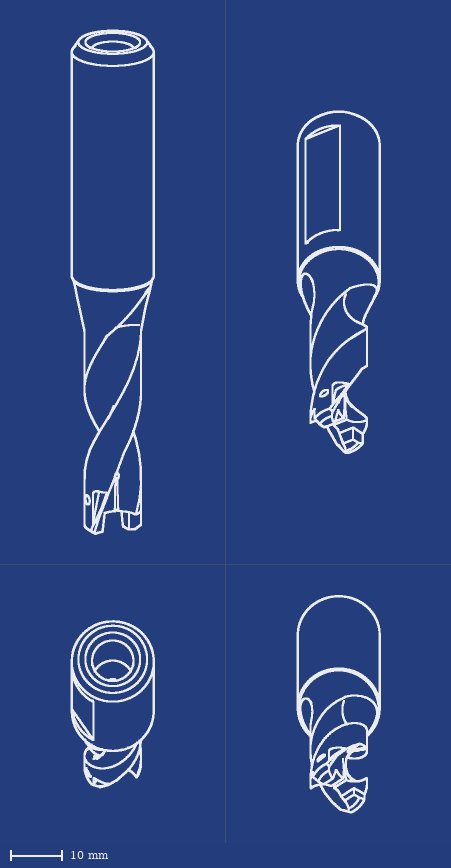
import cadquery as cq
import math

TOTAL_LENGTH = 99.7

SHANK_RADIUS = 15.8 / 2
SHANK_BOTTOM_Z = 51.8
END_CHAMFER_WIDTH = 1.3
END_CHAMFER_HEIGHT = 2.0
FLAT_DEPTH = 0.9
FLAT_BOTTOM_Z = 57.6
FLAT_TOP_Z = 93.1

NECK_TOP_RADIUS = 7.7
NECK_TOP_Z = 51.4
NECK_BOTTOM_Z = 40.7

BORE_MOUTH_RADIUS = 5.3
BORE_RADIUS = 4.0
BORE_CHAMFER_HEIGHT = BORE_MOUTH_RADIUS - BORE_RADIUS
BORE_DEPTH = 19.9
BORE_TIP_ANGLE = 118.0
COOLANT_RADIUS = 0.8

DRILL_RADIUS = 5.5
HELIX_ANGLE = 30.0
TIP_CHAMFER_WIDTH = 1.2
TIP_CHAMFER_HEIGHT = 0.9

HALF_WEB = 1.3
FLUTE_HALF_ANGLE = 51.5
FLUTE_TIP_HALF_ANGLE = 38.5
SLOW_TWIST_TOP_Z = 17.3
SLOW_TWIST_TOP_ANGLE = 222.4
SLOW_TWIST_BOTTOM_ANGLE = 142.0
SLOW_TWIST_STEPS = 4
RUNOUT_START_Z = 41.7
RUNOUT_OUTWARD = 7.8
RUNOUT_SIDEWAYS = 13.0
RUNOUT_HEIGHT = 15.9

SEAT_TOP_Z = 4.1
SEAT_HALF_WIDTH = 2.5
ARM_HALF_WIDTH = 2.9
ARM_INNER_X = -1.9
GASH_PLANE_POINTS = [(2.8, -4.7, 4.4), (0.9, -5.4, 1.2), (2.8, -2.5, 0.4)]

SLIT_WIDTH = 0.6
CROSS_HOLE_RADIUS = 0.65
CROSS_HOLE_Z = 11.2

RECESS_EDGE_X = 1.3
RECESS_TOP_Y = -3.8
RECESS_TOP_Z = 9.4
RECESS_BOTTOM_Y = -5.4
RECESS_BOTTOM_Z = 2.2
RECESS_CORNER_RADIUS = 1.0

PIN_RADIUS = 0.9
PIN_X = -0.5
PIN_Z = 6.9
PIN_INNER_Y = -2.5

CLEARANCE = 10.0

Z_AXIS = ((0, 0, 0), (0, 0, 1))


def half_turns(shape):
    """The shape and its copy turned half way round the drill axis."""
    return [shape.rotate(*Z_AXIS, turn) for turn in (0, 180)]


def cut_all(body, cutters):
    for cutter in cutters:
        body = body.cut(cutter)
    return body


def revolved(points):
    """A body of revolution about Z from (radius, z) points."""
    return cq.Workplane("XZ").polyline(points).close().revolve(360, (0, 0), (0, 1))


def drill_blank():
    return revolved([
        (0, 0),
        (DRILL_RADIUS - TIP_CHAMFER_WIDTH, 0),
        (DRILL_RADIUS, TIP_CHAMFER_HEIGHT),
        (DRILL_RADIUS, NECK_BOTTOM_Z),
        (NECK_TOP_RADIUS, NECK_TOP_Z),
        (SHANK_RADIUS, SHANK_BOTTOM_Z),
        (SHANK_RADIUS, TOTAL_LENGTH - END_CHAMFER_HEIGHT),
        (SHANK_RADIUS - END_CHAMFER_WIDTH, TOTAL_LENGTH),
        (0, TOTAL_LENGTH),
    ])


def shank_bore():
    """Chamfered bore with a conical bottom and the coolant hole down to the cross hole."""
    floor_z = TOTAL_LENGTH - BORE_DEPTH
    cone_slope = math.tan(math.radians(BORE_TIP_ANGLE / 2))
    return revolved([
        (0, TOTAL_LENGTH),
        (BORE_MOUTH_RADIUS, TOTAL_LENGTH),
        (BORE_RADIUS, TOTAL_LENGTH - BORE_CHAMFER_HEIGHT),
        (BORE_RADIUS, floor_z),
        (COOLANT_RADIUS, floor_z - (BORE_RADIUS - COOLANT_RADIUS) / cone_slope),
        (COOLANT_RADIUS, CROSS_HOLE_Z),
        (0, CROSS_HOLE_Z),
    ])


def shank_flat():
    height = FLAT_TOP_Z - FLAT_BOTTOM_Z
    return (
        cq.Workplane("XY", origin=(0, SHANK_RADIUS - FLAT_DEPTH, FLAT_BOTTOM_Z))
        .box(2 * SHANK_RADIUS, CLEARANCE, height, centered=(True, False, False))
    )


def flute_circle(half_angle):
    """Centre distance and radius of the round channel that opens over the given half angle."""
    half_chord = DRILL_RADIUS * math.sin(math.radians(half_angle))
    depth = DRILL_RADIUS * math.cos(math.radians(half_angle)) - HALF_WEB
    radius = (half_chord**2 + depth**2) / (2 * depth)
    return HALF_WEB + radius, radius


def flute_wire(z, angle, half_angle):
    distance, radius = flute_circle(half_angle)
    circle = cq.Wire.makeCircle(radius, cq.Vector(distance, 0, z), cq.Vector(0, 0, 1))
    return circle.rotate(cq.Vector(0, 0, 0), cq.Vector(0, 0, 1), angle)


def flute():
    """One flute: slow twist at the tip, helix along the body, straight run-out into the neck."""
    sections = []
    for step in range(SLOW_TWIST_STEPS + 1):
        share = step / SLOW_TWIST_STEPS
        angle = SLOW_TWIST_BOTTOM_ANGLE + share * (SLOW_TWIST_TOP_ANGLE - SLOW_TWIST_BOTTOM_ANGLE)
        half_angle = FLUTE_TIP_HALF_ANGLE + share * (FLUTE_HALF_ANGLE - FLUTE_TIP_HALF_ANGLE)
        sections.append(flute_wire(share * SLOW_TWIST_TOP_Z, angle, half_angle))
    tip = cq.Solid.makeLoft(sections)

    helix_length = RUNOUT_START_Z - SLOW_TWIST_TOP_Z
    twist = math.degrees(helix_length * math.tan(math.radians(HELIX_ANGLE)) / DRILL_RADIUS)
    helix_start = flute_wire(SLOW_TWIST_TOP_Z, SLOW_TWIST_TOP_ANGLE, FLUTE_HALF_ANGLE)
    helix = cq.Solid.extrudeLinearWithRotation(
        helix_start, [], cq.Vector(0, 0, SLOW_TWIST_TOP_Z), cq.Vector(0, 0, helix_length), twist
    )

    runout_angle = SLOW_TWIST_TOP_ANGLE + twist
    runout_start = flute_wire(RUNOUT_START_Z, 0, FLUTE_HALF_ANGLE)
    runout_path = cq.Vector(RUNOUT_OUTWARD, RUNOUT_SIDEWAYS, RUNOUT_HEIGHT)
    runout = cq.Solid.extrudeLinear(runout_start, [], runout_path).rotate(*Z_AXIS, runout_angle)
    return [cq.Workplane(piece) for piece in (tip, helix, runout)]


def insert_seat():
    """Everything around the two arms up to the seat top."""
    size = 2 * CLEARANCE
    below_top = cq.Workplane("XY").box(size, size, SEAT_TOP_Z, centered=(True, True, False))
    land_edge_y = -math.sqrt(DRILL_RADIUS**2 - ARM_HALF_WIDTH**2)
    arm = (
        cq.Workplane("XY")
        .polyline([
            (ARM_INNER_X, -SEAT_HALF_WIDTH),
            (-ARM_HALF_WIDTH, land_edge_y),
            (-ARM_HALF_WIDTH, -DRILL_RADIUS),
            (ARM_HALF_WIDTH, -DRILL_RADIUS),
            (ARM_HALF_WIDTH, -SEAT_HALF_WIDTH),
        ])
        .close()
        .extrude(SEAT_TOP_Z)
        .cut(arm_gash())
    )
    return cut_all(below_top, half_turns(arm))


def arm_gash():
    """Everything beyond a slanting plane across the +X side of the front arm."""
    land_top, land_bottom, inner = [cq.Vector(*point) for point in GASH_PLANE_POINTS]
    outward = (land_bottom - land_top).cross(inner - land_top)
    plane = cq.Plane(origin=land_top, normal=outward)
    return cq.Workplane(plane).rect(2 * CLEARANCE, 2 * CLEARANCE).extrude(CLEARANCE)


def clamping_slit():
    slit = cq.Workplane("XY").box(2 * DRILL_RADIUS, SLIT_WIDTH, CROSS_HOLE_Z, centered=(True, True, False))
    hole = (
        cq.Workplane("YZ")
        .center(0, CROSS_HOLE_Z)
        .circle(CROSS_HOLE_RADIUS)
        .extrude(DRILL_RADIUS, both=True)
    )
    return slit.union(hole)


def land_recess():
    """Recess at the +X edge of the front land; its floor rises to the land towards the tip."""
    return (
        cq.Workplane("YZ", origin=(RECESS_EDGE_X, 0, 0))
        .polyline([
            (RECESS_TOP_Y, RECESS_TOP_Z),
            (RECESS_BOTTOM_Y, RECESS_BOTTOM_Z),
            (-CLEARANCE, RECESS_BOTTOM_Z),
            (-CLEARANCE, RECESS_TOP_Z),
        ])
        .close()
        .extrude(CLEARANCE)
        .edges("|Y and <X and >Z")
        .fillet(RECESS_CORNER_RADIUS)
    )


def pin():
    """A pin in the front land with its outer end following the land surface."""
    rod = (
        cq.Workplane("XZ", origin=(PIN_X, PIN_INNER_Y, PIN_Z))
        .circle(PIN_RADIUS)
        .extrude(CLEARANCE)
    )
    return rod.intersect(cq.Workplane("XY").circle(DRILL_RADIUS).extrude(NECK_BOTTOM_Z))


def drill_body(pins):
    body = cut_all(drill_blank(), [shank_bore(), shank_flat()])
    for piece in flute():
        body = cut_all(body, half_turns(piece))
    body = cut_all(body, [insert_seat(), clamping_slit()])
    body = cut_all(body, half_turns(land_recess()))
    return cut_all(body, pins)


pins = half_turns(pin())
body = drill_body(pins)
result = cq.Compound.makeCompound([body.val(), *[flush_pin.val() for flush_pin in pins]])